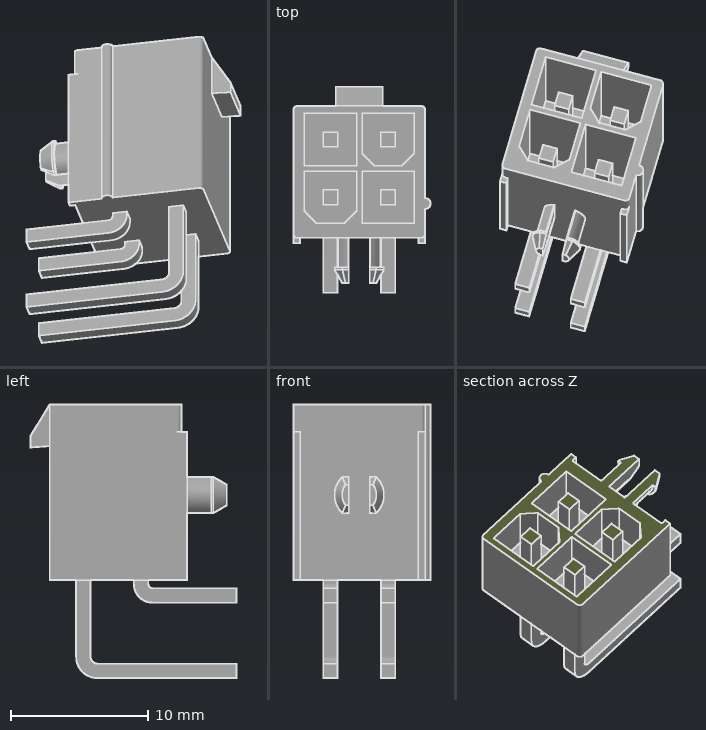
import cadquery as cq

HOUSING_WIDTH = 9.6
HOUSING_DEPTH = 9.6
HOUSING_HEIGHT = 12.8
CORNER_RADIUS = 0.3
SIDE_X = HOUSING_WIDTH / 2
BACK_Y = HOUSING_DEPTH / 2
FRONT_Y = -BACK_Y

PITCH = 4.2
CAVITY_SIZE = 3.8
CAVITY_DEPTH = 10.0
CAVITY_CHAMFER = 0.9
GRID_CENTRE_Y = 0.25
LEFT_X = -PITCH / 2
RIGHT_X = PITCH / 2
REAR_ROW_Y = GRID_CENTRE_Y + PITCH / 2
FRONT_ROW_Y = GRID_CENTRE_Y - PITCH / 2

PIN_SIZE = 1.07
PIN_TIP_RECESS = 3.0
PIN_REACH = 8.8
REAR_PIN_DROP = 7.13
FRONT_PIN_DROP = 1.64
REAR_PIN_INNER_RADIUS = 0.5
FRONT_PIN_INNER_RADIUS = 0.3
PIN_TIP_Z = HOUSING_HEIGHT - PIN_TIP_RECESS
PIN_END_Y = -PIN_REACH

RIB_WIDTH = 0.5
RIB_TOP_DROP = 2.0
RIB_HEIGHT = HOUSING_HEIGHT - RIB_TOP_DROP
RIB_PROJECTION = 0.4

KEY_RADIUS = 0.4
KEY_FROM_FRONT = 2.5
KEY_Y = FRONT_Y + KEY_FROM_FRONT

LATCH_WIDTH = 3.45
LATCH_PROJECTION = 1.4
LATCH_RAMP_DROP = 2.3
LATCH_ROOT_DROP = 3.05
LATCH_LIP_DROP = 3.15

PEG_Z = 6.2
PEG_SHAFT_RADIUS = 1.55
PEG_HEAD_RADIUS = 1.8
PEG_TIP_RADIUS = 1.25
PEG_SHAFT_LENGTH = 2.15
PEG_BAND_LENGTH = 0.16
PEG_LENGTH = 3.3
PEG_SLOT_WIDTH = 1.5
PEG_HALF_HEIGHT = 1.32
PEG_TIP_HALF_HEIGHT = 0.75


def make_housing():
    block = cq.Workplane("XY").box(
        HOUSING_WIDTH, HOUSING_DEPTH, HOUSING_HEIGHT, centered=(True, True, False)
    )
    return block.edges("|Z").fillet(CORNER_RADIUS)


def make_cavity(x, y, keyed):
    """Square cavity; a keyed one has its two front corners chamfered."""
    cavity = (
        cq.Workplane("XY", origin=(x, y, HOUSING_HEIGHT - CAVITY_DEPTH))
        .rect(CAVITY_SIZE, CAVITY_SIZE)
        .extrude(CAVITY_DEPTH)
    )
    if keyed:
        cavity = cavity.faces("<Y").edges("|Z").chamfer(CAVITY_CHAMFER)
    return cavity


def make_pin(x, row_y, drop, inner_radius):
    """Square pin that rises through the housing floor and bends towards -Y."""
    bottom_z = -drop
    outer_radius = inner_radius + PIN_SIZE
    rear_y = row_y + PIN_SIZE / 2
    front_y = row_y - PIN_SIZE / 2
    top_of_leg_z = bottom_z + PIN_SIZE
    bend_y = front_y - inner_radius
    bend_z = top_of_leg_z + inner_radius
    return (
        cq.Workplane("YZ", origin=(x, 0, 0))
        .moveTo(rear_y, PIN_TIP_Z)
        .lineTo(rear_y, bend_z)
        .radiusArc((bend_y, bottom_z), outer_radius)
        .lineTo(PIN_END_Y, bottom_z)
        .lineTo(PIN_END_Y, top_of_leg_z)
        .lineTo(bend_y, top_of_leg_z)
        .radiusArc((front_y, bend_z), -inner_radius)
        .lineTo(front_y, PIN_TIP_Z)
        .close()
        .extrude(PIN_SIZE / 2, both=True)
    )


def make_front_rib(side):
    """Rib flush with one side wall; side is -1 or +1 along X."""
    depth = RIB_PROJECTION + CORNER_RADIUS
    centre_x = side * (SIDE_X - RIB_WIDTH / 2)
    rib = cq.Workplane("XY").box(RIB_WIDTH, depth, RIB_HEIGHT, centered=(True, False, False))
    return rib.translate((centre_x, FRONT_Y - RIB_PROJECTION, 0))


def make_key():
    return cq.Workplane("XY").center(SIDE_X, KEY_Y).circle(KEY_RADIUS).extrude(HOUSING_HEIGHT)


def make_latch():
    lip_y = BACK_Y + LATCH_PROJECTION
    return (
        cq.Workplane("YZ")
        .moveTo(BACK_Y, HOUSING_HEIGHT)
        .lineTo(lip_y, HOUSING_HEIGHT - LATCH_RAMP_DROP)
        .lineTo(lip_y, HOUSING_HEIGHT - LATCH_LIP_DROP)
        .lineTo(BACK_Y, HOUSING_HEIGHT - LATCH_ROOT_DROP)
        .close()
        .extrude(LATCH_WIDTH / 2, both=True)
    )


def make_peg():
    """Turned peg with a barbed head, flattened above and below and split by a slot."""
    tip_y = FRONT_Y - PEG_LENGTH
    head_y = FRONT_Y - PEG_SHAFT_LENGTH
    taper_y = head_y - PEG_BAND_LENGTH
    turned = (
        cq.Workplane("XY")
        .moveTo(0, FRONT_Y)
        .lineTo(PEG_SHAFT_RADIUS, FRONT_Y)
        .lineTo(PEG_SHAFT_RADIUS, head_y)
        .lineTo(PEG_HEAD_RADIUS, head_y)
        .lineTo(PEG_HEAD_RADIUS, taper_y)
        .lineTo(PEG_TIP_RADIUS, tip_y)
        .lineTo(0, tip_y)
        .close()
        .revolve(360, (0, 0, 0), (0, 1, 0))
    )
    flats = (
        cq.Workplane("YZ")
        .moveTo(FRONT_Y, PEG_HALF_HEIGHT)
        .lineTo(taper_y, PEG_HALF_HEIGHT)
        .lineTo(tip_y, PEG_TIP_HALF_HEIGHT)
        .lineTo(tip_y, -PEG_TIP_HALF_HEIGHT)
        .lineTo(taper_y, -PEG_HALF_HEIGHT)
        .lineTo(FRONT_Y, -PEG_HALF_HEIGHT)
        .close()
        .extrude(PEG_HEAD_RADIUS, both=True)
    )
    slot = cq.Workplane("XY").box(PEG_SLOT_WIDTH, PEG_LENGTH, 2 * PEG_HEAD_RADIUS)
    slot = slot.translate((0, FRONT_Y - PEG_LENGTH / 2, 0))
    return turned.intersect(flats).cut(slot).translate((0, 0, PEG_Z))


result = make_housing().union(make_key()).union(make_latch()).union(make_peg())

for rib_side in (-1, 1):
    result = result.union(make_front_rib(rib_side))

for cavity_x, cavity_y, is_keyed in (
    (LEFT_X, REAR_ROW_Y, False),
    (RIGHT_X, REAR_ROW_Y, True),
    (LEFT_X, FRONT_ROW_Y, True),
    (RIGHT_X, FRONT_ROW_Y, False),
):
    result = result.cut(make_cavity(cavity_x, cavity_y, is_keyed))

for pin_x in (LEFT_X, RIGHT_X):
    result = result.union(make_pin(pin_x, REAR_ROW_Y, REAR_PIN_DROP, REAR_PIN_INNER_RADIUS))
    result = result.union(make_pin(pin_x, FRONT_ROW_Y, FRONT_PIN_DROP, FRONT_PIN_INNER_RADIUS))